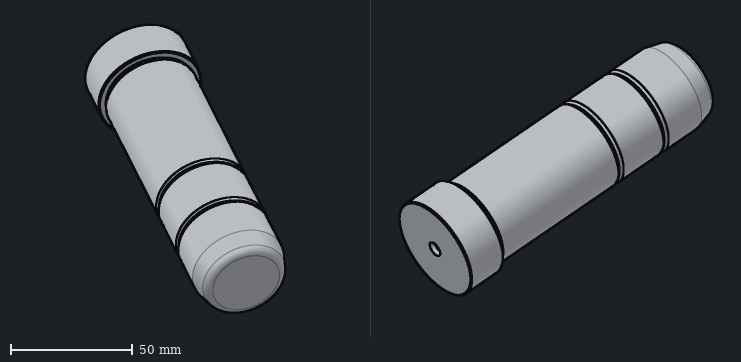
import cadquery as cq
import math

length = 140.0
head_diameter = 45.0
head_length = 18.0
head_chamfer = 0.49
shank_diameter = 40.0

undercut_width = 2.0
undercut_depth = 0.5
undercut_chamfer = 0.4

groove_starts = (83.9, 108.8)
groove_width = 3.0
groove_cone_length = 1.3
groove_depth = 0.7
groove_arc_radius = 2.4

nose_length = 10.0
nose_angle = 15.0
nose_fillet = 3.6

countersink_diameter = 6.5
countersink_angle = 60.0
drill_diameter = 4.0
drill_depth = 6.0
drill_tip_angle = 120.0

head_radius = head_diameter / 2
shank_radius = shank_diameter / 2


def cylinder(start, size, radius):
    """Solid cylinder on the X axis from start to start + size."""
    return cq.Workplane("YZ").workplane(offset=start).circle(radius).extrude(size)


def revolve_about_x(profile):
    """Revolve a closed XY profile about the X axis."""
    return profile.close().revolve(360, (0, 0, 0), (1, 0, 0))


def make_head():
    return cylinder(0, head_length, head_radius).faces("<X or >X").edges().chamfer(head_chamfer)


def make_shank():
    undercut_end = head_length + undercut_width
    undercut_radius = shank_radius - undercut_depth
    nose_start = length - nose_length
    nose_radius = shank_radius - nose_length * math.tan(math.radians(nose_angle))
    profile = (
        cq.Workplane("XY")
        .moveTo(0, 0)
        .lineTo(0, undercut_radius)
        .lineTo(undercut_end - undercut_chamfer, undercut_radius)
        .lineTo(undercut_end, shank_radius)
        .lineTo(nose_start, shank_radius)
        .lineTo(length, nose_radius)
        .lineTo(length, 0)
    )
    return revolve_about_x(profile).faces(">X").edges().fillet(nose_fillet)


def make_ring_groove(start):
    bottom = (start + groove_cone_length, shank_radius - groove_depth)
    profile = (
        cq.Workplane("XY")
        .moveTo(start, shank_radius)
        .lineTo(*bottom)
        .radiusArc((start + groove_width, shank_radius), -groove_arc_radius)
    )
    return revolve_about_x(profile)


def make_centre_hole():
    drill_radius = drill_diameter / 2
    countersink_radius = countersink_diameter / 2
    countersink_depth = (countersink_radius - drill_radius) / math.tan(math.radians(countersink_angle / 2))
    tip_depth = drill_radius / math.tan(math.radians(drill_tip_angle / 2))
    profile = (
        cq.Workplane("XY")
        .moveTo(0, 0)
        .lineTo(0, countersink_radius)
        .lineTo(countersink_depth, drill_radius)
        .lineTo(drill_depth, drill_radius)
        .lineTo(drill_depth + tip_depth, 0)
    )
    return revolve_about_x(profile)


body = make_head().union(make_shank())
for groove_start in groove_starts:
    body = body.cut(make_ring_groove(groove_start))

result = body.cut(make_centre_hole())